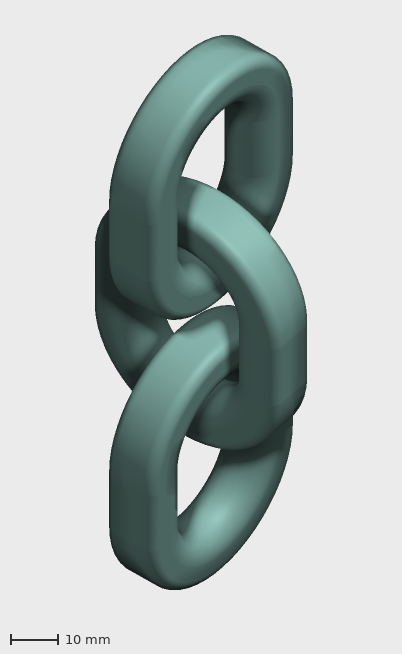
import cadquery as cq

chain_length = 149.0
link_count = 3
link_width = 50.0
bar_thickness = 13.0
outer_edge_radius = 2.7

link_pitch = (chain_length - 2 * bar_thickness) / link_count
link_length = link_pitch + 2 * bar_thickness

half_thickness = bar_thickness / 2
outer_radius = link_width / 2
inner_radius = outer_radius - bar_thickness
half_straight = link_length / 2 - outer_radius
center_radius = outer_radius - half_thickness


def bar_section():
    """Bar cross-section in the XY plane: two quarter rounds meeting inside, small rounds on the outside."""
    flat_start = inner_radius + half_thickness
    flat_end = outer_radius - outer_edge_radius
    outer_flat_half = half_thickness - outer_edge_radius
    return (
        cq.Workplane("XY")
        .moveTo(flat_start, -half_thickness)
        .lineTo(flat_end, -half_thickness)
        .radiusArc((outer_radius, -outer_flat_half), -outer_edge_radius)
        .lineTo(outer_radius, outer_flat_half)
        .radiusArc((flat_end, half_thickness), -outer_edge_radius)
        .lineTo(flat_start, half_thickness)
        .radiusArc((inner_radius, 0), -half_thickness)
        .radiusArc((flat_start, -half_thickness), -half_thickness)
        .close()
    )


def racetrack_path():
    """Closed centre line of the bar in the XZ plane, starting at the middle of the +X side."""
    crown = half_straight + center_radius
    return (
        cq.Workplane("XZ")
        .moveTo(center_radius, 0)
        .lineTo(center_radius, half_straight)
        .threePointArc((0, crown), (-center_radius, half_straight))
        .lineTo(-center_radius, -half_straight)
        .threePointArc((0, -crown), (center_radius, -half_straight))
        .close()
    )


def chain_link(center_z, turn):
    """One link, turned about the chain axis and centred at height center_z."""
    link = bar_section().sweep(racetrack_path())
    return link.rotate((0, 0, 0), (0, 0, 1), turn).translate((0, 0, center_z))


quarter_turn = 90
links = []
for index in range(link_count):
    center_z = link_length / 2 + index * link_pitch
    turn = quarter_turn if index % 2 == 0 else 0
    links.append(chain_link(center_z, turn).val())

result = cq.Compound.makeCompound(links)